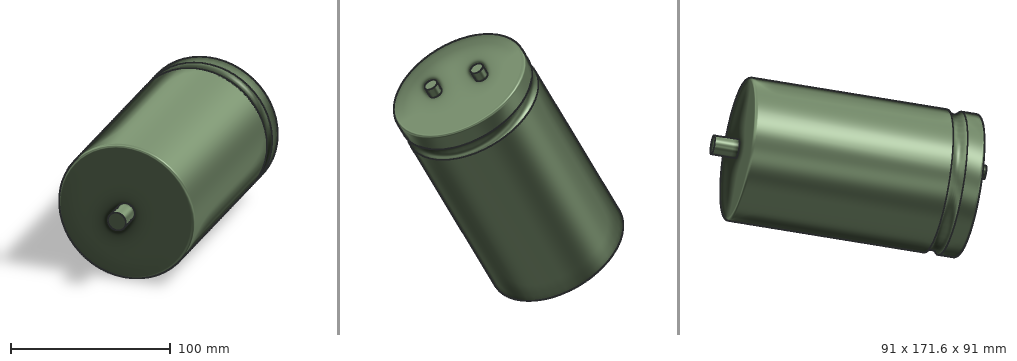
import cadquery as cq

can_diameter = 91.0
can_length = 148.6
can_edge_radius = 2.0

groove_width = 9.3
groove_depth = 2.4
groove_center_from_top = 16.1

stud_diameter = 12.0
stud_length = 15.8
terminal_diameter = 8.5
terminal_length = 7.2
terminal_spacing = 31.5

can_radius = can_diameter / 2
groove_y = can_length - groove_center_from_top


def pin_along_y(x, y_start, diameter, length):
    """Round pin at a given X that runs in +Y from y_start."""
    pin_plane = cq.Plane(origin=(x, y_start, 0), xDir=(1, 0, 0), normal=(0, 1, 0))
    return cq.Workplane(pin_plane).circle(diameter / 2).extrude(length)


def make_can():
    """Can body, revolved about Y, with a round-bottomed groove in its outline."""
    outline = (
        cq.Workplane("XY")
        .lineTo(can_radius, 0)
        .lineTo(can_radius, groove_y - groove_width / 2)
        .threePointArc(
            (can_radius - groove_depth, groove_y),
            (can_radius, groove_y + groove_width / 2),
        )
        .lineTo(can_radius, can_length)
        .lineTo(0, can_length)
        .close()
    )
    can = outline.revolve(360, (0, 0, 0), (0, 1, 0))
    return can.faces("<Y or >Y").edges().fillet(can_edge_radius)


result = make_can()
result = result.union(pin_along_y(0, -stud_length, stud_diameter, stud_length))
for side in (-1, 1):
    terminal_x = side * terminal_spacing / 2
    result = result.union(
        pin_along_y(terminal_x, can_length, terminal_diameter, terminal_length)
    )